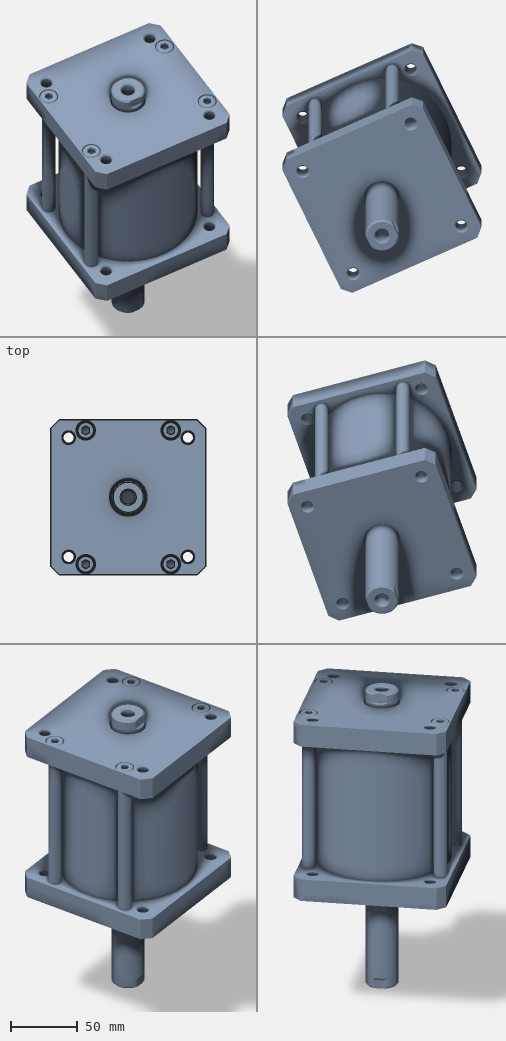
import cadquery as cq
import math

total_length = 237.0
plate_side = 116.0
plate_thickness = 17.3
plate_corner_chamfer = 6.5
barrel_length = 107.0
barrel_diameter = 104.0
barrel_bore = 100.0

rod_diameter = 25.0
rod_top_extension = 10.2
rod_end_chamfer = 1.2
flat_spacing = 22.0
flat_length = 7.0
end_hole_diameter = 10.2
end_hole_depth = 19.0
end_hole_tip_height = 0.5
end_hole_chamfer = 1.0

rod_bore = 25.5
rod_recess_diameter = 27.0
rod_recess_depth = 2.4
rod_recess_mouth = 28.0

mount_hole_offset = 44.5
mount_hole_diameter = 8.3
mount_hole_chamfer = 1.0

tie_offset_x = 31.8
tie_offset_y = 50.0
tie_diameter = 10.0
head_diameter = 13.0
head_height = 8.0
head_chamfer = 0.7
head_recess_diameter = 14.0
head_recess_chamfer = 0.2
socket_width = 6.0
socket_depth = 4.0
drill_point_angle = 118.0

bottom_plate_top = plate_thickness
top_plate_base = bottom_plate_top + barrel_length
top_plate_top = top_plate_base + plate_thickness
rod_top = top_plate_top + rod_top_extension
rod_bottom = rod_top - total_length
head_base = top_plate_top - head_height

mount_points = [(sx * mount_hole_offset, sy * mount_hole_offset) for sx in (-1, 1) for sy in (-1, 1)]
tie_points = [(sx * tie_offset_x, sy * tie_offset_y) for sx in (-1, 1) for sy in (-1, 1)]


def cylinder(diameter, z_low, z_high):
    """Cylinder on the Z axis between two levels."""
    return cq.Workplane("XY").workplane(offset=z_low).circle(diameter / 2).extrude(z_high - z_low)


def cone(z_base, base_diameter, z_end, end_diameter):
    """Cone or frustum on the Z axis, pointing up or down."""
    profile = [(0, z_base), (base_diameter / 2, z_base)]
    if end_diameter > 0:
        profile.append((end_diameter / 2, z_end))
    profile.append((0, z_end))
    return cq.Workplane("XZ").polyline(profile).close().revolve(360, (0, 0), (0, 1))


def plate_blank(z_base):
    """Square plate with bevelled corners and chamfered corner holes."""
    z_top = z_base + plate_thickness
    mouth_diameter = mount_hole_diameter + 2 * mount_hole_chamfer
    hole = (
        cylinder(mount_hole_diameter, z_base, z_top)
        .union(cone(z_top, mouth_diameter, z_top - mount_hole_chamfer, mount_hole_diameter))
        .union(cone(z_base, mouth_diameter, z_base + mount_hole_chamfer, mount_hole_diameter))
    )
    plate = (
        cq.Workplane("XY")
        .workplane(offset=z_base)
        .rect(plate_side, plate_side)
        .extrude(plate_thickness)
        .edges("|Z")
        .chamfer(plate_corner_chamfer)
    )
    for x, y in mount_points:
        plate = plate.cut(hole.translate((x, y, 0)))
    return plate


def rod_opening(z_inner, z_outer):
    """Rod clearance hole, widened and chamfered at the outer face of a plate."""
    inward = math.copysign(1, z_inner - z_outer)
    recess_floor = z_outer + inward * rod_recess_depth
    chamfer_end = z_outer + inward * (rod_recess_mouth - rod_recess_diameter) / 2
    return (
        cylinder(rod_bore, min(z_inner, z_outer), max(z_inner, z_outer))
        .union(cylinder(rod_recess_diameter, min(recess_floor, z_outer), max(recess_floor, z_outer)))
        .union(cone(z_outer, rod_recess_mouth, chamfer_end, rod_recess_diameter))
    )


def make_bottom_plate():
    plate = plate_blank(0).cut(rod_opening(bottom_plate_top, 0))
    tie_hole = cylinder(tie_diameter, 0, bottom_plate_top)
    for x, y in tie_points:
        plate = plate.cut(tie_hole.translate((x, y, 0)))
    return plate


def make_top_plate():
    plate = plate_blank(top_plate_base).cut(rod_opening(top_plate_base, top_plate_top))
    tie_hole = cylinder(tie_diameter, top_plate_base, top_plate_top)
    tie_hole = tie_hole.union(cylinder(head_recess_diameter, head_base, top_plate_top))
    recess_mouth = head_recess_diameter + 2 * head_recess_chamfer
    chamfer_base = top_plate_top - head_recess_chamfer
    tie_hole = tie_hole.union(cone(top_plate_top, recess_mouth, chamfer_base, head_recess_diameter))
    for x, y in tie_points:
        plate = plate.cut(tie_hole.translate((x, y, 0)))
    return plate


def make_barrel():
    barrel = cylinder(barrel_diameter, bottom_plate_top, top_plate_base)
    return barrel.cut(cylinder(barrel_bore, bottom_plate_top, top_plate_base))


def flat_cutter():
    """Material removed beside one flat at the top end, on the +X side, with a 45 degree shoulder."""
    shoulder = (rod_diameter - flat_spacing) / 2
    flat_base = rod_top - flat_length
    profile = [
        (flat_spacing / 2, rod_top),
        (flat_spacing / 2, flat_base),
        (rod_diameter / 2, flat_base - shoulder),
        (rod_diameter / 2, rod_top),
    ]
    return cq.Workplane("XZ").polyline(profile).close().extrude(rod_diameter / 2, both=True)


def end_hole():
    """Blind drilled hole in the top end of the rod, with a chamfered mouth."""
    z_bottom = rod_top - end_hole_depth
    mouth_diameter = end_hole_diameter + 2 * end_hole_chamfer
    tip = z_bottom - end_hole_tip_height
    return (
        cylinder(end_hole_diameter, z_bottom, rod_top)
        .union(cone(z_bottom, end_hole_diameter, tip, 0))
        .union(cone(rod_top, mouth_diameter, rod_top - end_hole_chamfer, end_hole_diameter))
    )


def make_rod():
    """Through rod whose two ends are mirror images."""
    z_middle = (rod_top + rod_bottom) / 2
    rod = cylinder(rod_diameter, rod_bottom, rod_top).faces("<Z or >Z").chamfer(rod_end_chamfer)
    flat = flat_cutter()
    for cutter in (flat, flat.mirror("YZ"), end_hole()):
        rod = rod.cut(cutter)
        rod = rod.cut(cutter.mirror("XY", (0, 0, z_middle)))
    return rod


def make_tie_bolt(x, y):
    """Socket head bolt clamping the barrel between the plates, seated in the bottom plate."""
    head = cylinder(head_diameter, head_base, top_plate_top).faces(">Z").edges().chamfer(head_chamfer)
    socket_corner_diameter = socket_width / math.cos(math.pi / 6)
    socket_floor = top_plate_top - socket_depth
    socket = (
        cq.Workplane("XY")
        .workplane(offset=socket_floor)
        .polygon(6, socket_corner_diameter)
        .extrude(socket_depth)
        .rotate((0, 0, 0), (0, 0, 1), 30)
    )
    tip = socket_floor - socket_width / 2 / math.tan(math.radians(drill_point_angle / 2))
    socket = socket.union(cone(socket_floor, socket_width, tip, 0))
    bolt = cylinder(tie_diameter, 0, head_base).union(head).cut(socket)
    return bolt.translate((x, y, 0))


bottom_plate = make_bottom_plate()
top_plate = make_top_plate()
barrel = make_barrel()
rod = make_rod()
tie_bolts = [make_tie_bolt(x, y) for x, y in tie_points]

result = cq.Compound.makeCompound(
    [bottom_plate.val(), top_plate.val(), barrel.val(), rod.val()] + [bolt.val() for bolt in tie_bolts]
)